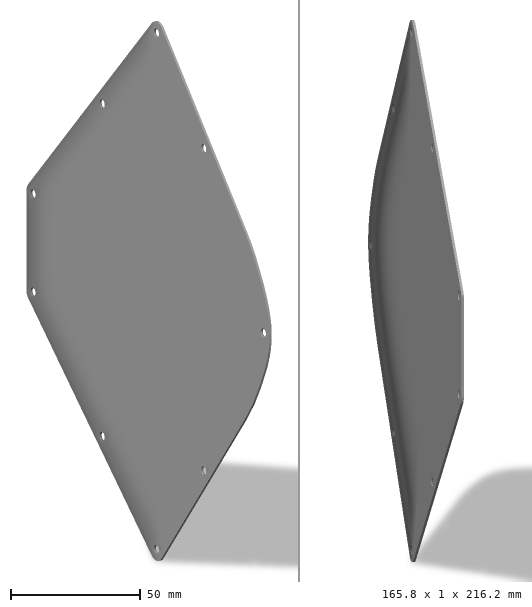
import cadquery as cq
import math

height = 216.2
width = 165.8
thickness = 1.0
corner_radius = 4.5
hole_diameter = 3.5

tip_z = height / 2 - corner_radius
left_edge_x = -88.6
left_x = left_edge_x + corner_radius
left_z = 19.7

nose_x = left_edge_x + width
curve_start = (60.0, 37.8)
curve_middle = (70.3, 22.0)

left_side_hole_x = -37.0
right_side_hole = (32.2, 64.6)
nose_hole_x = 72.9


def mirrored(point):
    """Reflect an (x, z) point about Z = 0."""
    return (point[0], -point[1])


def on_corner(center, angle):
    """Point on a corner arc, with the angle in radians from +X."""
    return (
        center[0] + corner_radius * math.cos(angle),
        center[1] + corner_radius * math.sin(angle),
    )


tip = (0, tip_z)
left_corner = (left_x, left_z)

side_slope = (tip_z - left_z) / -left_x
left_normal = math.atan(side_slope) + math.pi / 2

start_distance = math.hypot(curve_start[0], curve_start[1] - tip_z)
start_angle = math.atan2(curve_start[1] - tip_z, curve_start[0])
right_normal = start_angle + math.acos(corner_radius / start_distance)

tip_right = on_corner(tip, right_normal)
tip_middle = on_corner(tip, math.pi / 2)
tip_left = on_corner(tip, left_normal)
left_upper = on_corner(left_corner, left_normal)
left_middle = on_corner(left_corner, (left_normal + math.pi) / 2)
left_lower = on_corner(left_corner, math.pi)

nose_points = [mirrored(curve_middle), (nose_x, 0), curve_middle, curve_start]
lower_direction = (math.sin(right_normal), math.cos(right_normal))
upper_direction = (-math.sin(right_normal), math.cos(right_normal))

outline = (
    cq.Workplane("XZ")
    .moveTo(*tip_right)
    .threePointArc(tip_middle, tip_left)
    .lineTo(*left_upper)
    .threePointArc(left_middle, left_lower)
    .lineTo(*mirrored(left_lower))
    .threePointArc(mirrored(left_middle), mirrored(left_upper))
    .lineTo(*mirrored(tip_left))
    .threePointArc(mirrored(tip_middle), mirrored(tip_right))
    .lineTo(*mirrored(curve_start))
    .spline(nose_points, tangents=[lower_direction, upper_direction], includeCurrent=True)
    .close()
)
plate = outline.extrude(thickness / 2, both=True)

left_side_hole = (left_side_hole_x, left_z + side_slope * (left_side_hole_x - left_x))
hole_points = [(nose_hole_x, 0)]
for point in (tip, left_corner, left_side_hole, right_side_hole):
    hole_points += [point, mirrored(point)]

holes = (
    cq.Workplane("XZ")
    .pushPoints(hole_points)
    .circle(hole_diameter / 2)
    .extrude(thickness, both=True)
)
result = plate.cut(holes)